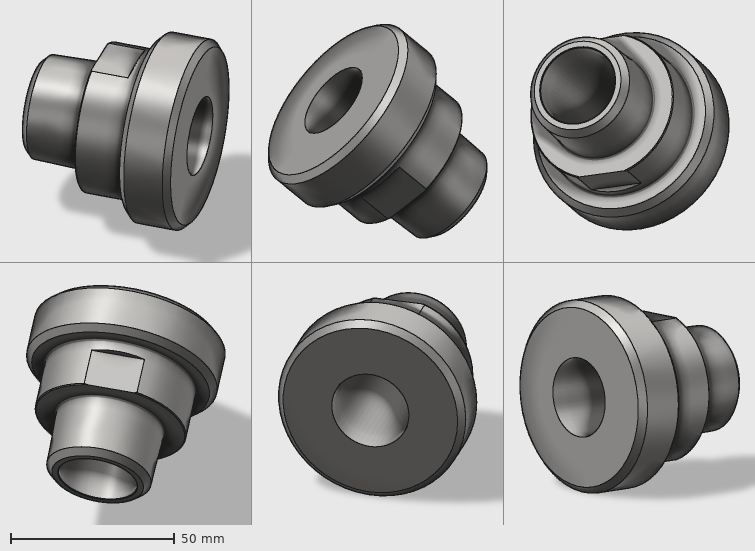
import cadquery as cq
import math

bore_radius = 24.5 / 2
bore_chamfer = 0.25
spigot_length = 20.0
spigot_tip_radius = 16.3
spigot_root_radius = 16.85
collar_length = 16.0
collar_radius = 47 / 2
collar_chamfer = 0.3
flange_length = 16.5
flange_radius = 59.5 / 2
edge_chamfer = 2.0
root_fillet = 0.5
flat_half_span = 22.0
flat_length = 12.0
flat_end_angle = 15

collar_start = spigot_length
flange_start = collar_start + collar_length
total_length = flange_start + flange_length


def concave_fillet(profile, end_x, start_radius):
    """Quarter-round fillet from a cylinder of start_radius into a face at end_x."""
    middle_offset = root_fillet * (1 - math.sqrt(0.5))
    middle = (end_x - middle_offset, start_radius + middle_offset)
    return profile.threePointArc(middle, (end_x, start_radius + root_fillet))


def turned_body():
    """Spigot, collar and flange as one revolved profile with a through bore."""
    profile = (
        cq.Workplane("XY")
        .moveTo(bore_chamfer, bore_radius)
        .lineTo(0, bore_radius + bore_chamfer)
        .lineTo(0, spigot_tip_radius - edge_chamfer)
        .lineTo(edge_chamfer, spigot_tip_radius)
        .lineTo(collar_start - root_fillet, spigot_root_radius)
    )
    profile = concave_fillet(profile, collar_start, spigot_root_radius)
    profile = (
        profile.lineTo(collar_start, collar_radius - collar_chamfer)
        .lineTo(collar_start + collar_chamfer, collar_radius)
        .lineTo(flange_start - root_fillet, collar_radius)
    )
    profile = concave_fillet(profile, flange_start, collar_radius)
    profile = (
        profile.lineTo(flange_start, flange_radius - edge_chamfer)
        .lineTo(flange_start + edge_chamfer, flange_radius)
        .lineTo(total_length - edge_chamfer, flange_radius)
        .lineTo(total_length, flange_radius - edge_chamfer)
        .lineTo(total_length, bore_radius)
        .close()
    )
    return profile.revolve(360, (0, 0, 0), (1, 0, 0))


def flat_cutter():
    """Removes the collar above the upper wrench flat, with a leaning end shoulder."""
    flat_end = collar_start + flat_length
    height = collar_radius - flat_half_span + root_fillet
    lean = height * math.tan(math.radians(flat_end_angle))
    return (
        cq.Workplane("XZ")
        .moveTo(collar_start, flat_half_span)
        .lineTo(flat_end, flat_half_span)
        .lineTo(flat_end + lean, flat_half_span + height)
        .lineTo(collar_start, flat_half_span + height)
        .close()
        .extrude(collar_radius, both=True)
    )


upper_cutter = flat_cutter()
lower_cutter = upper_cutter.mirror("XY")
result = turned_body().cut(upper_cutter).cut(lower_cutter)